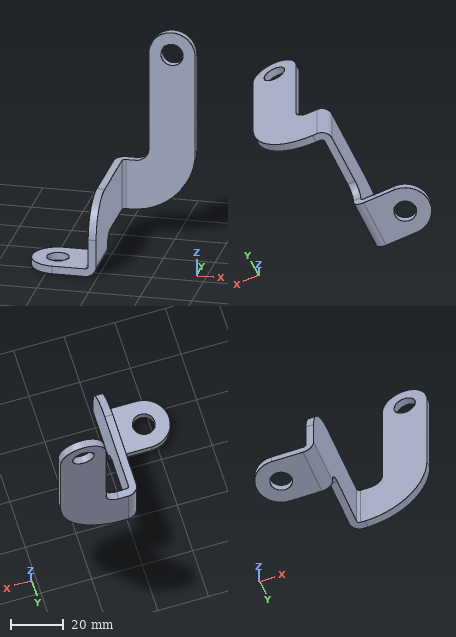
import cadquery as cq

length_x = 55.0
depth_y = 49.45
height_z = 83.1

thickness = 3.15
bend_inner = 1.2
bend_outer = bend_inner + thickness

strip_width = 20.0
arm_width = 18.0
hole_diameter = 8.5
web_face_x = 27.0
web_bottom_z = 10.05
web_top_z = web_bottom_z + strip_width
web_corner_radius = 15.0
arm_corner_radius = 25.0
inner_corner_radius = 5.0

foot_radius = strip_width / 2
arm_radius = arm_width / 2
arm_left_x = length_x - arm_width
arm_hole_x = length_x - arm_radius
arm_hole_z = height_z - arm_radius
web_left_x = web_face_x - thickness


def make_foot():
    """Horizontal tab with a round left end and a hole."""
    blank = (
        cq.Workplane("XY")
        .moveTo(foot_radius, 0)
        .lineTo(web_face_x - bend_outer, 0)
        .lineTo(web_face_x - bend_outer, strip_width)
        .lineTo(foot_radius, strip_width)
        .threePointArc((0, foot_radius), (foot_radius, 0))
        .close()
        .extrude(thickness)
    )
    hole = cq.Workplane("XY").center(foot_radius, foot_radius).circle(hole_diameter / 2).extrude(thickness)
    return blank.cut(hole)


def make_bend(workplane, side, sweep_length):
    """Quarter ring tangent to the web; side +1 keeps the lower right quarter, -1 the upper left."""
    ring = workplane.circle(bend_outer).circle(bend_inner).extrude(sweep_length)
    quadrant = workplane.center(side * bend_outer / 2, side * -bend_outer / 2)
    return ring.intersect(quadrant.rect(bend_outer, bend_outer).extrude(sweep_length))


def make_web():
    """Upright plate that turns from the foot toward the arm."""
    return (
        cq.Workplane("YZ", origin=(web_left_x, 0, 0))
        .moveTo(0, bend_outer)
        .lineTo(0, web_top_z - web_corner_radius)
        .radiusArc((web_corner_radius, web_top_z), web_corner_radius)
        .lineTo(depth_y - bend_outer, web_top_z)
        .lineTo(depth_y - bend_outer, web_bottom_z)
        .lineTo(strip_width + inner_corner_radius, web_bottom_z)
        .radiusArc((strip_width, web_bottom_z - inner_corner_radius), -inner_corner_radius)
        .lineTo(strip_width, bend_outer)
        .close()
        .extrude(thickness)
    )


def make_arm():
    """Rear plate that turns upward and ends in a round eye."""
    blank = (
        cq.Workplane("XZ", origin=(0, depth_y, 0))
        .moveTo(web_left_x + bend_outer, web_bottom_z)
        .lineTo(length_x - arm_corner_radius, web_bottom_z)
        .radiusArc((length_x, web_bottom_z + arm_corner_radius), -arm_corner_radius)
        .lineTo(length_x, arm_hole_z)
        .threePointArc((arm_hole_x, height_z), (arm_left_x, arm_hole_z))
        .lineTo(arm_left_x, web_top_z + inner_corner_radius)
        .radiusArc((arm_left_x - inner_corner_radius, web_top_z), inner_corner_radius)
        .lineTo(web_left_x + bend_outer, web_top_z)
        .close()
        .extrude(thickness)
    )
    hole = (
        cq.Workplane("XZ", origin=(arm_hole_x, depth_y, arm_hole_z))
        .circle(hole_diameter / 2)
        .extrude(thickness)
    )
    return blank.cut(hole)


foot_bend_plane = cq.Workplane("XZ", origin=(web_face_x - bend_outer, strip_width, bend_outer))
foot_bend = make_bend(foot_bend_plane, 1, strip_width)
arm_bend_plane = cq.Workplane("XY", origin=(web_left_x + bend_outer, depth_y - bend_outer, web_bottom_z))
arm_bend = make_bend(arm_bend_plane, -1, strip_width)

result = make_foot().union(foot_bend).union(make_web()).union(arm_bend).union(make_arm())